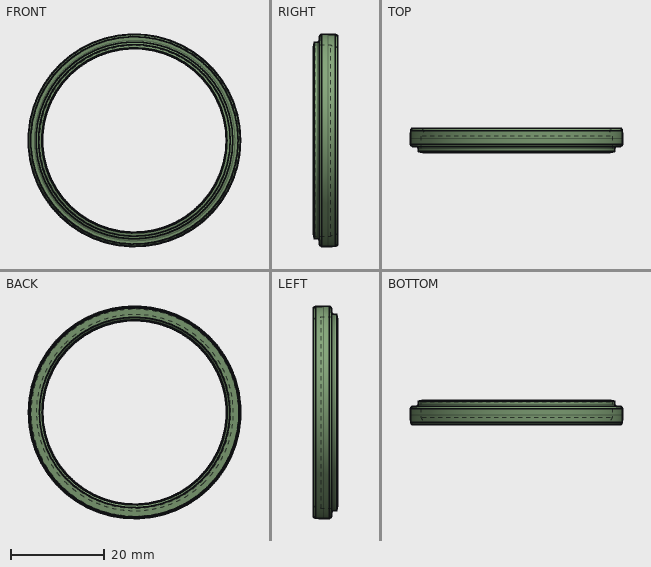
import cadquery as cq

outer_radius = 22.75
width = 5.27

rim_width = 3.95
parting_depth = 2.2
rim_taper = 0.05
back_chamfer_radial = 0.3
back_chamfer_axial = 0.55
front_round_size = 0.55
front_round_radius = 0.8

lip_radius = 21.05
cove_radius = 0.4
lip_face_rise = 0.27

land_radius = 19.65
land_chamfer = 0.2
land_depth = 0.35
groove_radius = 20.5
groove_end_depth = 1.65
throat_radius = 19.8
throat_chamfer = 0.55

back = width / 2
front = -width / 2
rim_front = back - rim_width
land_back = front + land_depth
tapered_radius = outer_radius - rim_taper


def draw_outside(sketch):
    """Run along the outer side, from the back face to the front edge of the lip."""
    return (
        sketch.lineTo(tapered_radius - back_chamfer_radial, back)
        .lineTo(tapered_radius, back - back_chamfer_axial)
        .lineTo(outer_radius, back - parting_depth)
        .lineTo(outer_radius, rim_front + front_round_size)
        .radiusArc((outer_radius - front_round_size, rim_front), front_round_radius)
        .lineTo(lip_radius + cove_radius, rim_front)
        .radiusArc((lip_radius, rim_front - cove_radius), -cove_radius)
        .lineTo(lip_radius, front + lip_face_rise)
    )


def draw_bore(sketch):
    """Run along the bore, from the front land to the throat near the back face."""
    return (
        sketch.lineTo(land_radius + land_chamfer, front)
        .lineTo(land_radius, front + land_chamfer)
        .lineTo(land_radius, land_back)
        .lineTo(groove_radius, land_back)
        .lineTo(groove_radius, back - groove_end_depth)
        .lineTo(throat_radius, back - throat_chamfer)
    )


profile = cq.Workplane("XY").moveTo(throat_radius + throat_chamfer, back)
profile = draw_bore(draw_outside(profile)).close()
result = profile.revolve(360, (0, 0, 0), (0, 1, 0))